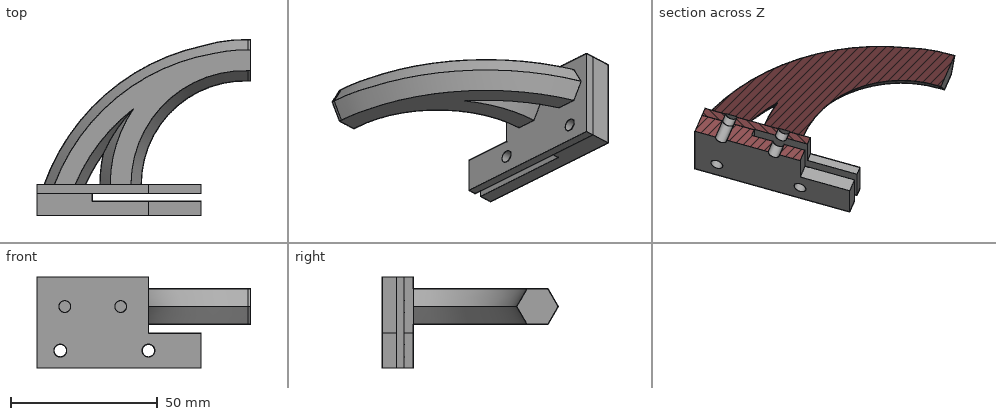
import cadquery as cq
import math

clamp_length = 55.9
clamp_height = 31.0
step_x = 38.1
step_z = 11.95

block_depth = 7.5
plate_thickness = 3.1
plate_back = block_depth + plate_thickness
slot_width = 2.55
slot_start_x = 18.9

clearance_diameter = 4.2
clearance_xs = (8.0, 38.0)
clearance_z = 6.0
screw_diameter = 4.0
screw_xs = (9.55, 28.55)

arm_z = 21.0
hex_height = 12.2
hex_width = hex_height * 2 / math.sqrt(3)
arm_end_x = 72.8
arc_end_x = 71.85

inner_radius = 42.2
inner_centre = (screw_xs[1] + inner_radius, plate_back)
tip_y = plate_back + inner_radius

outer_rise = plate_back - tip_y
outer_run = arc_end_x - screw_xs[0]
outer_radius = (outer_run**2 + outer_rise**2) / (2 * abs(outer_rise))
outer_centre = (arc_end_x, tip_y - outer_radius)
outer_hex_width = hex_width * outer_run / outer_radius


def make_layer(y_front, y_back):
    """Stepped clamp outline, filled from y_front to y_back."""
    return (
        cq.Workplane("XZ", origin=(0, y_front, 0))
        .polyline([
            (0, 0),
            (clamp_length, 0),
            (clamp_length, step_z),
            (step_x, step_z),
            (step_x, clamp_height),
            (0, clamp_height),
        ])
        .close()
        .extrude(y_front - y_back)
    )


def drill_clamp(body):
    """Cut the clearance and screw holes through one clamp layer."""
    hole_rows = (
        (clearance_xs, clearance_z, clearance_diameter),
        (screw_xs, arm_z, screw_diameter),
    )
    for xs, z, diameter in hole_rows:
        drill = (
            cq.Workplane("XZ")
            .pushPoints([(x, z) for x in xs])
            .circle(diameter / 2)
            .extrude(-plate_back)
        )
        body = body.cut(drill)
    return body


def make_block():
    """Front block with a slot open toward the plate and the +X end."""
    slot = cq.Workplane("XY").box(
        clamp_length - slot_start_x, slot_width, clamp_height, centered=False
    ).translate((slot_start_x, block_depth - slot_width, 0))
    return drill_clamp(make_layer(0, block_depth).cut(slot))


def make_plate():
    return drill_clamp(make_layer(block_depth, plate_back))


def hexagon(workplane, centre_x, width):
    """Hexagon with flats up and down and corners at both ends of its width."""
    half_width = width / 2
    half_flat = width / 4
    half_height = hex_height / 2
    return workplane.polyline([
        (centre_x - half_width, arm_z),
        (centre_x - half_flat, arm_z + half_height),
        (centre_x + half_flat, arm_z + half_height),
        (centre_x + half_width, arm_z),
        (centre_x + half_flat, arm_z - half_height),
        (centre_x - half_flat, arm_z - half_height),
    ]).close()


def make_leg(centre, radius, width):
    """Curved leg, trimmed to the plate's back face and the end of the arc."""
    half_turn = 180
    ring = hexagon(
        cq.Workplane("XZ", origin=(*centre, 0)), -radius, width
    ).revolve(half_turn, (0, 0), (0, -1))
    trim = cq.Workplane("XY").box(
        arc_end_x, tip_y, clamp_height, centered=False
    ).translate((0, plate_back, 0))
    return ring.intersect(trim)


def make_arm():
    tip = hexagon(
        cq.Workplane("YZ", origin=(arc_end_x, 0, 0)), tip_y, hex_width
    ).extrude(arm_end_x - arc_end_x)
    inner_leg = make_leg(inner_centre, inner_radius, hex_width)
    outer_leg = make_leg(outer_centre, outer_radius, outer_hex_width)
    return inner_leg.union(outer_leg).union(tip)


block = make_block()
plate = make_plate()
arm = make_arm()

bodies = [body.solids().val() for body in (block, plate, arm)]
result = cq.Compound.makeCompound(bodies)